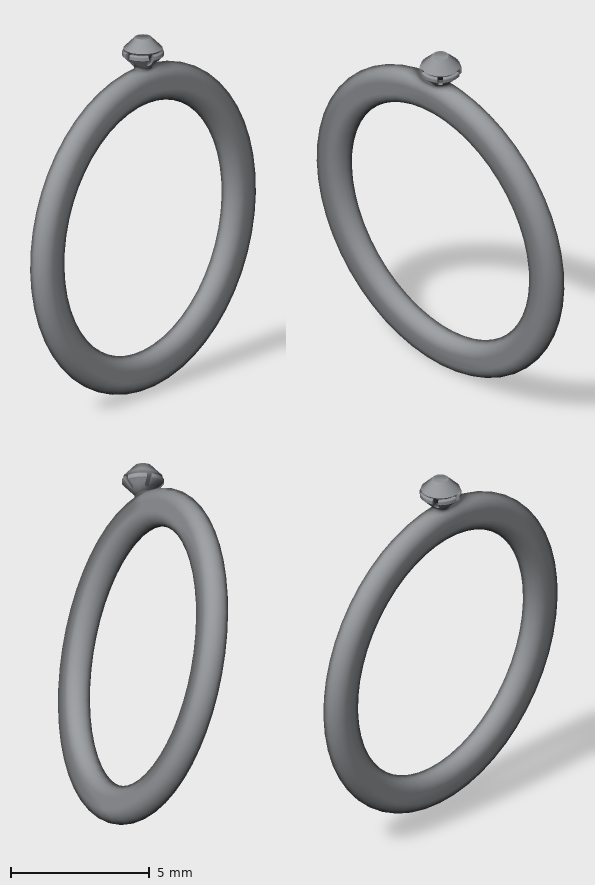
import cadquery as cq
import math

RING_OUTER_RADIUS = 6.15
RING_WIDTH = 0.94
RING_THICKNESS = 1.41

GEM_TOP_Z = 7.27
GEM_RADIUS = 0.71
GEM_TABLE_RADIUS = 0.3
GIRDLE_Z = GEM_TOP_Z - (GEM_RADIUS - GEM_TABLE_RADIUS)
GEM_POINT_Z = GIRDLE_Z - GEM_RADIUS

CUP_DIAMETER = 1.52
CUP_RADIUS = CUP_DIAMETER / 2
CUP_RIM_Z = 6.78
CUP_RIM_HEIGHT = 0.17
CUP_RIM_ROUND = 0.07
CUP_CONE_TOP_Z = CUP_RIM_Z - CUP_RIM_HEIGHT
CUP_POINT_Z = CUP_CONE_TOP_Z - CUP_RADIUS
NECK_FILLET = 0.07

SLOT_COUNT = 5
SLOT_WIDTH = 0.2
SLOT_BOTTOM_Z = 6.32
FIRST_SLOT_ANGLE = 45.0


def make_ring():
    """Stadium section revolved about the X axis."""
    round_radius = RING_WIDTH / 2
    outer_flat_end = RING_OUTER_RADIUS - round_radius
    inner_radius = RING_OUTER_RADIUS - RING_THICKNESS
    inner_flat_end = inner_radius + round_radius
    section = (
        cq.Workplane("XZ")
        .moveTo(-round_radius, inner_flat_end)
        .lineTo(-round_radius, outer_flat_end)
        .threePointArc((0, RING_OUTER_RADIUS), (round_radius, outer_flat_end))
        .lineTo(round_radius, inner_flat_end)
        .threePointArc((0, inner_radius), (-round_radius, inner_flat_end))
        .close()
    )
    return section.revolve(360, (0, 0, 0), (1, 0, 0))


def make_cup_blank():
    """Solid cone with a rim whose upper outer edge is rounded."""
    round_start_z = CUP_RIM_Z - CUP_RIM_ROUND
    round_end_radius = CUP_RADIUS - CUP_RIM_ROUND
    arc_offset = CUP_RIM_ROUND * math.sqrt(0.5)
    profile = (
        cq.Workplane("XZ")
        .moveTo(0, CUP_POINT_Z)
        .lineTo(CUP_RADIUS, CUP_CONE_TOP_Z)
        .lineTo(CUP_RADIUS, round_start_z)
        .threePointArc(
            (round_end_radius + arc_offset, round_start_z + arc_offset),
            (round_end_radius, CUP_RIM_Z),
        )
        .lineTo(0, CUP_RIM_Z)
        .close()
    )
    return profile.revolve(360, (0, 0, 0), (0, 1, 0))


def make_slot_cutter(angle):
    """Radial U-shaped channel, open upwards and outwards, turned to the given angle."""
    half_width = SLOT_WIDTH / 2
    round_center_z = SLOT_BOTTOM_Z + half_width
    profile = (
        cq.Workplane("YZ")
        .moveTo(-half_width, GEM_TOP_Z)
        .lineTo(-half_width, round_center_z)
        .threePointArc((0, SLOT_BOTTOM_Z), (half_width, round_center_z))
        .lineTo(half_width, GEM_TOP_Z)
        .close()
    )
    return profile.extrude(CUP_DIAMETER).rotate((0, 0, 0), (0, 0, 1), angle)


def make_gem():
    """Double cone with a flat table on top."""
    profile = (
        cq.Workplane("XZ")
        .moveTo(0, GEM_POINT_Z)
        .lineTo(GEM_RADIUS, GIRDLE_Z)
        .lineTo(GEM_TABLE_RADIUS, GEM_TOP_Z)
        .lineTo(0, GEM_TOP_Z)
        .close()
    )
    return profile.revolve(360, (0, 0, 0), (0, 1, 0))


def make_setting(gem):
    """Ring and cup as one body, with a filleted neck, slots and a seat for the gem."""
    setting = make_ring().union(make_cup_blank())
    neck = cq.selectors.BoxSelector(
        (-CUP_RADIUS, -CUP_RADIUS, CUP_POINT_Z),
        (CUP_RADIUS, CUP_RADIUS, RING_OUTER_RADIUS + NECK_FILLET),
        boundingbox=True,
    )
    setting = setting.edges(neck).fillet(NECK_FILLET)
    for index in range(SLOT_COUNT):
        setting = setting.cut(make_slot_cutter(FIRST_SLOT_ANGLE + index * 360 / SLOT_COUNT))
    return setting.cut(gem).solids()


gem = make_gem()
setting = make_setting(gem)

result = cq.Compound.makeCompound([setting.val(), gem.val()])